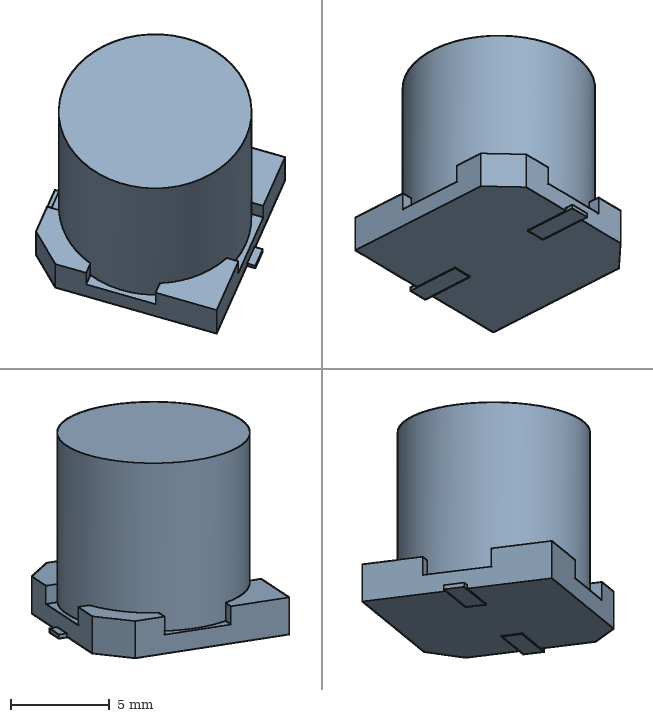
import cadquery as cq


lead_span = 11.2
base_side = 10.32
total_height = 10.06
can_diameter = 9.79

base_bottom = 0.05
base_top = 2.04
corner_chamfer = 1.62
notch_width = 3.74
notch_floor = 1.06

lead_length = 3.08
lead_width = 1.12
lead_thickness = 0.22
lead_center_x = (lead_span - lead_length) / 2


def make_can():
    """Cylinder standing on the floor of the base recess."""
    return (
        cq.Workplane("XY", origin=(0, 0, notch_floor))
        .circle(can_diameter / 2)
        .extrude(total_height - notch_floor)
    )


def make_lead(side):
    """Flat strip under the base; side is -1 for the -X end, +1 for the +X end."""
    return cq.Workplane("XY", origin=(side * lead_center_x, 0, 0)).box(
        lead_length, lead_width, lead_thickness, centered=(True, True, False)
    )


def make_base(can, leads):
    """Plate with two chamfered corners, a notch in each side, and seats for the can and leads."""
    base = (
        cq.Workplane("XY", origin=(0, 0, base_bottom))
        .rect(base_side, base_side)
        .extrude(base_top - base_bottom)
        .edges("|Z and <X")
        .chamfer(corner_chamfer)
    )
    notch_depth = base_top - notch_floor
    for length_x, length_y in ((base_side, notch_width), (notch_width, base_side)):
        channel = cq.Workplane("XY", origin=(0, 0, notch_floor)).box(
            length_x, length_y, notch_depth, centered=(True, True, False)
        )
        base = base.cut(channel)
    base = base.cut(can)
    for lead in leads:
        base = base.cut(lead)
    return base


can = make_can()
leads = [make_lead(side) for side in (-1, 1)]
base = make_base(can, leads)

result = cq.Compound.makeCompound([base.val(), can.val(), *[lead.val() for lead in leads]])